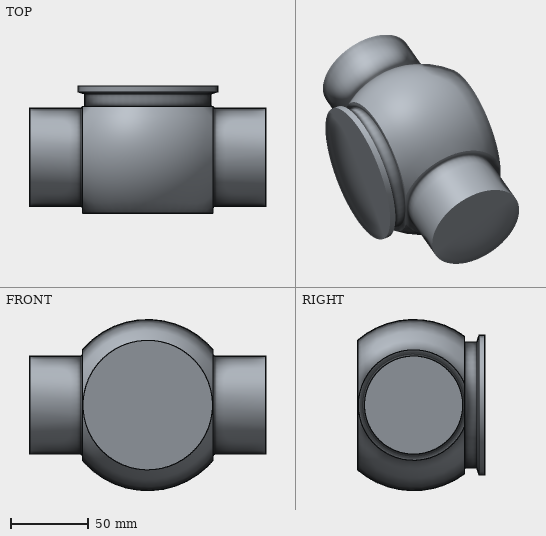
import cadquery as cq

SPHERE_RADIUS = 55.5
SIDE_FLAT_X = 42.4
FRONT_FLAT_Y = -36.3
BACK_FLAT_Y = 33.0

OVERALL_LENGTH_X = 153.16
PIPE_RADIUS = 31.8
PIPE_FILLET = 1.2

OVERALL_DEPTH_Y = 82.55
NECK_RADIUS = 40.9
NECK_FILLET = 0.55
FLANGE_RADIUS = 45.4
FLANGE_RIM = 3.85
FLANGE_TAPER = 1.4

FLANGE_FACE_Y = FRONT_FLAT_Y + OVERALL_DEPTH_Y
RIM_BASE_Y = FLANGE_FACE_Y - FLANGE_RIM
TAPER_BASE_Y = RIM_BASE_Y - FLANGE_TAPER


def make_body():
    """Sphere cut flat at both sides, the front and the back."""
    sphere = cq.Workplane("XZ").sphere(SPHERE_RADIUS)
    trim_height = 3 * SPHERE_RADIUS
    trim = cq.Workplane("XY").box(
        2 * SIDE_FLAT_X,
        BACK_FLAT_Y - FRONT_FLAT_Y,
        trim_height,
    )
    trim = trim.translate((0, (BACK_FLAT_Y + FRONT_FLAT_Y) / 2, 0))
    return sphere.intersect(trim)


def make_pipes():
    """Solid pipe through the body, flared by a fillet onto each side flat."""
    pipe_end_x = OVERALL_LENGTH_X / 2
    fillet_start_x = SIDE_FLAT_X + PIPE_FILLET
    half = (
        cq.Workplane("XY")
        .lineTo(0, PIPE_RADIUS)
        .lineTo(SIDE_FLAT_X, PIPE_RADIUS)
        .lineTo(SIDE_FLAT_X, PIPE_RADIUS + PIPE_FILLET)
        .radiusArc((fillet_start_x, PIPE_RADIUS), -PIPE_FILLET)
        .lineTo(pipe_end_x, PIPE_RADIUS)
        .lineTo(pipe_end_x, 0)
        .close()
        .revolve(360, (0, 0, 0), (1, 0, 0))
    )
    return half.union(half.mirror("YZ"))


def make_clamp_end():
    """Neck with a fillet onto the back flat and a tapered clamp flange."""
    return (
        cq.Workplane("XY")
        .lineTo(NECK_RADIUS, 0)
        .lineTo(NECK_RADIUS, BACK_FLAT_Y)
        .lineTo(NECK_RADIUS + NECK_FILLET, BACK_FLAT_Y)
        .radiusArc((NECK_RADIUS, BACK_FLAT_Y + NECK_FILLET), NECK_FILLET)
        .lineTo(NECK_RADIUS, TAPER_BASE_Y)
        .lineTo(FLANGE_RADIUS, RIM_BASE_Y)
        .lineTo(FLANGE_RADIUS, FLANGE_FACE_Y)
        .lineTo(0, FLANGE_FACE_Y)
        .close()
        .revolve(360, (0, 0, 0), (0, 1, 0))
    )


result = make_body().union(make_pipes()).union(make_clamp_end())